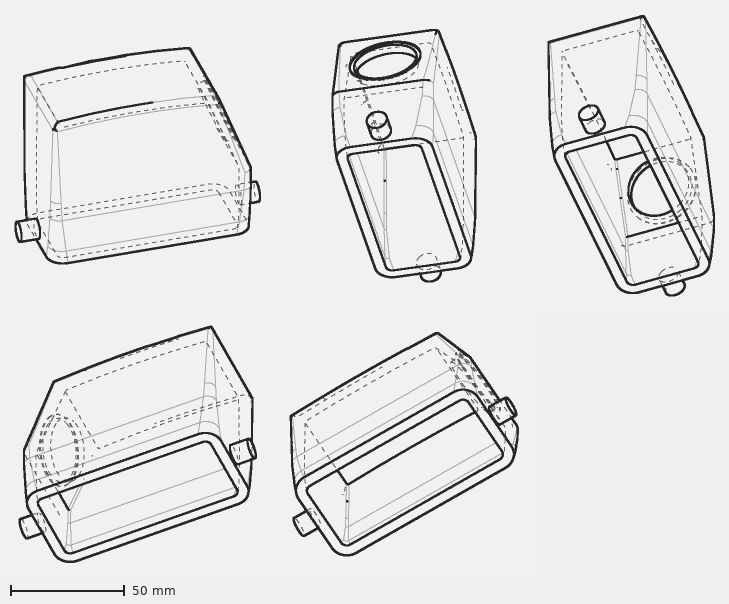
import cadquery as cq
import math

LENGTH = 110.0
WIDTH = 45.5
HEIGHT = 75.6

RIM_END_Y = 46.5
TOP_END_Y = 45.8
SLOPE_FOOT_Y = 46.1
SLOPE_FOOT_Z = 32.7
SLOPE_TOP_Y = 30.5
SLOPE_TOP_Z = 73.7

RIM_WIDTH = 43.1
TAPER_WIDTH = 44.4
TAPER_Z = 6.9
WAIST_Z = 23.5

RIM_CORNER = 7.7
TAPER_CORNER = 6.5
WAIST_CORNER = 4.3
TOP_CORNER = 1.4

CROWN_Y = -6.6
ROOF_RADIUS = 346.5
ROOF_EDGE_FILLET = 3.0
SLOPE_EDGE_FILLET = 1.3
BLANK_EXCESS = 2.2

WALL = 4.8
INNER_CORNER_MIN = 0.9

ENTRY_RADIUS = 14.1
ENTRY_RECESS_RADIUS = 16.0
ENTRY_RECESS_DEPTH = 0.5
ENTRY_Y = 38.3
ENTRY_CUT_DEPTH = 13.2
ENTRY_CUT_LEAD = 1.1

PIN_DIAMETER = 9.1
PIN_Z = 6.3

SLOPE_RUN = SLOPE_FOOT_Y - SLOPE_TOP_Y
SLOPE_RISE = SLOPE_TOP_Z - SLOPE_FOOT_Z
SLOPE_LENGTH = math.hypot(SLOPE_RUN, SLOPE_RISE)
LOFT_TOP_Z = HEIGHT + BLANK_EXCESS


def interpolate(z, z0, value0, z1, value1):
    """Value at height z on the straight line through two known heights."""
    return value0 + (value1 - value0) * (z - z0) / (z1 - z0)


def front_end_y(z):
    return -interpolate(z, 0, RIM_END_Y, SLOPE_TOP_Z, TOP_END_Y)


def back_end_y(z):
    if z <= SLOPE_FOOT_Z:
        return interpolate(z, 0, RIM_END_Y, SLOPE_FOOT_Z, SLOPE_FOOT_Y)
    return interpolate(z, SLOPE_FOOT_Z, SLOPE_FOOT_Y, SLOPE_TOP_Z, SLOPE_TOP_Y)


def upper_corner(z):
    return interpolate(z, WAIST_Z, WAIST_CORNER, SLOPE_TOP_Z, TOP_CORNER)


def section(z, width, corner, inset):
    """Rounded rectangular wire at height z, drawn in by inset on all sides."""
    y_min = front_end_y(z) + inset
    y_max = back_end_y(z) - inset
    if z > SLOPE_FOOT_Z:
        y_max -= inset * (SLOPE_LENGTH / SLOPE_RISE - 1)
    radius = corner if inset == 0 else max(corner - inset, INNER_CORNER_MIN)
    middle = (0, (y_min + y_max) / 2, z)
    outline = cq.Workplane(origin=middle).rect(width - 2 * inset, y_max - y_min).val()
    return outline.fillet2D(radius, outline.Vertices())


def hood_blank(inset):
    """Tapered hood blank with rounded upright corners, offset inwards by inset."""
    levels = [
        (0, RIM_WIDTH, RIM_CORNER),
        (TAPER_Z, TAPER_WIDTH, TAPER_CORNER),
        (WAIST_Z, WIDTH, WAIST_CORNER),
        (SLOPE_FOOT_Z, WIDTH, upper_corner(SLOPE_FOOT_Z)),
        (LOFT_TOP_Z, WIDTH, upper_corner(LOFT_TOP_Z)),
    ]
    wires = [section(z, width, corner, inset) for z, width, corner in levels]
    return cq.Workplane(obj=cq.Solid.makeLoft(wires, True))


def roof_height(y, inset):
    """Height of the arched roof at y, lowered by inset."""
    radius = ROOF_RADIUS - inset
    return HEIGHT - ROOF_RADIUS + math.sqrt(radius**2 - (y - CROWN_Y) ** 2)


def roof_envelope(inset):
    """Sharp-cornered hood with the arched roof."""
    y_front = front_end_y(SLOPE_TOP_Z)
    return (
        cq.Workplane("YZ")
        .moveTo(front_end_y(0), 0)
        .lineTo(back_end_y(0), 0)
        .lineTo(SLOPE_FOOT_Y, SLOPE_FOOT_Z)
        .lineTo(SLOPE_TOP_Y, roof_height(SLOPE_TOP_Y, inset))
        .threePointArc((CROWN_Y, HEIGHT - inset), (y_front, roof_height(y_front, inset)))
        .close()
        .extrude(WIDTH / 2, both=True)
    )


def round_roof_edges(envelope):
    """Round the sides and -Y end of the roof first, then its slope edge."""
    envelope = envelope.faces(">Z").edges("not >Y").fillet(ROOF_EDGE_FILLET)
    return envelope.faces(">Z").edges(">Y").fillet(SLOPE_EDGE_FILLET)


def pin(side):
    """Locking pin on the end wall; side is +1 for +Y, -1 for -Y."""
    root = RIM_END_Y - WALL / 2
    return cq.Workplane(
        obj=cq.Solid.makeCylinder(
            PIN_DIAMETER / 2,
            LENGTH / 2 - root,
            cq.Vector(0, side * root, PIN_Z),
            cq.Vector(0, side, 0),
        )
    )


def entry_cut(radius, depth):
    """Cylinder sunk square into the sloping face, starting at its surface."""
    entry_z = interpolate(ENTRY_Y, SLOPE_FOOT_Y, SLOPE_FOOT_Z, SLOPE_TOP_Y, SLOPE_TOP_Z)
    inward = cq.Vector(0, -SLOPE_RISE, -SLOPE_RUN).normalized()
    start = cq.Vector(0, ENTRY_Y, entry_z) - inward * ENTRY_CUT_LEAD
    return cq.Workplane(obj=cq.Solid.makeCylinder(radius, depth + ENTRY_CUT_LEAD, start, inward))


hood = hood_blank(0).intersect(round_roof_edges(roof_envelope(0)))
hood = hood.cut(hood_blank(WALL).intersect(roof_envelope(WALL)))
hood = hood.cut(entry_cut(ENTRY_RECESS_RADIUS, ENTRY_RECESS_DEPTH))
hood = hood.cut(entry_cut(ENTRY_RADIUS, ENTRY_CUT_DEPTH))
for side in (1, -1):
    hood = hood.union(pin(side))

result = hood.clean()